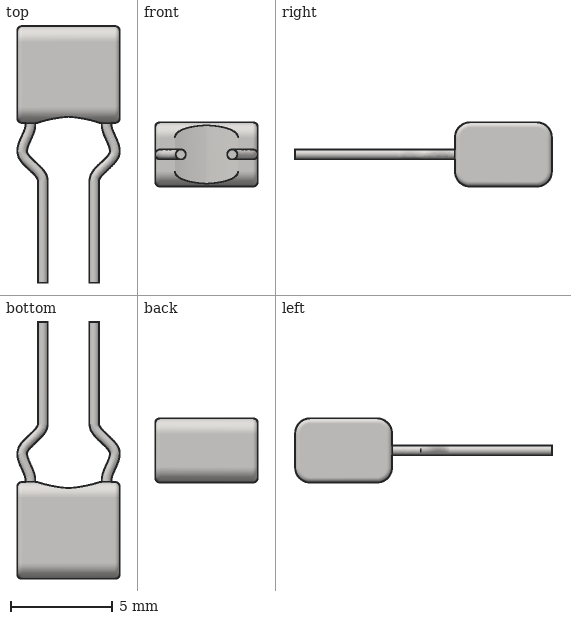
import cadquery as cq


total_length = 12.7

case_width = 5.08
case_depth = 4.8
case_height = 3.19
long_edge_radius = 0.76
end_edge_radius = 0.25

recess_width = 3.12
recess_depth = 0.3
recess_arc_bulge = 0.05

lead_diameter = 0.5
lead_length = total_length - case_depth
root_offset = 1.88
tip_offset = 1.27
knee_offset = (case_width - lead_diameter) / 2
root_length = 0.06
knee_distance = 1.41
bend_end_distance = 2.83


def make_case():
    """Case with rounded long edges, softened ends and the front recess."""
    case = (
        cq.Workplane("XY")
        .box(case_width, case_depth, case_height)
        .translate((0, case_depth / 2, 0))
        .edges("|X")
        .fillet(long_edge_radius)
        .faces("<X or >X")
        .edges()
        .fillet(end_edge_radius)
    )
    recess_cutter = (
        cq.Workplane("XY")
        .moveTo(-recess_width / 2, 0)
        .sagittaArc((0, recess_depth), recess_arc_bulge)
        .sagittaArc((recess_width / 2, 0), recess_arc_bulge)
        .close()
        .extrude(case_height / 2, both=True)
    )
    return case.cut(recess_cutter).solids()


def s_bend(start, end):
    """Control points of a cubic curve that leaves and arrives parallel to Y."""
    handle = (end[1] - start[1]) / 3
    return [start, (start[0], start[1] + handle), (end[0], end[1] - handle), end]


def make_lead(side):
    """Round wire from the case front to its tip; side is -1 for left and +1 for right."""
    face = (side * root_offset, 0)
    root = (side * root_offset, -root_length)
    knee = (side * knee_offset, -knee_distance)
    bend_end = (side * tip_offset, -bend_end_distance)
    tip = (side * tip_offset, -lead_length)

    path = (
        cq.Workplane("XY")
        .moveTo(*face)
        .lineTo(*root)
        .bezier(s_bend(root, knee))
        .bezier(s_bend(knee, bend_end))
        .lineTo(*tip)
    )
    return (
        cq.Workplane("XZ", origin=(*face, 0))
        .circle(lead_diameter / 2)
        .sweep(path)
    )


case = make_case()
leads = [make_lead(side) for side in (-1, 1)]

result = cq.Compound.makeCompound([case.val(), *[lead.val() for lead in leads]])